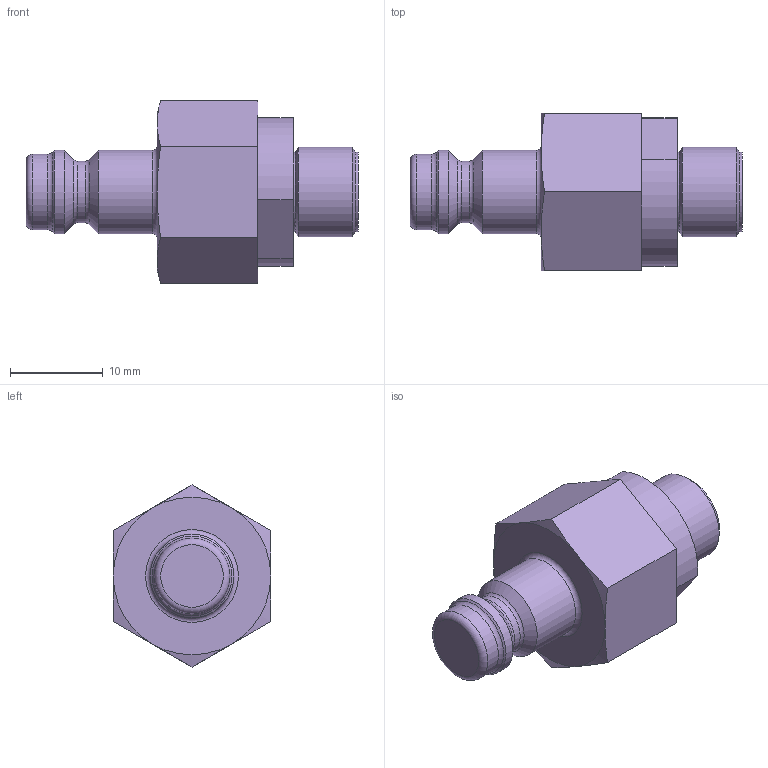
import cadquery as cq
import math


ring_rise_x = 2.3
ring_end_x = 4.1
shank_x = 7.8
hex_x = 14.15
collar_x = 25.0
stub_x = 28.8
total_length = 35.8

nose_diameter = 8.15
plug_diameter = 9.0
groove_diameter = 6.65
nose_radius = 0.7
ring_foot_radius = 0.78
groove_radius = 0.6
shank_foot_radius = 0.5

across_flats = 17.0
across_corners = across_flats / math.cos(math.radians(30))
hex_chamfer_angle = 15.0

collar_diameter = 16.0
collar_across_flats = 14.0
collar_flat_angle = 35.0

thread_diameter = 9.7
neck_diameter = 8.57
neck_length = 0.25
thread_chamfer = 0.3
pilot_length = 0.3

SIN_45 = math.sin(math.radians(45))
FILLET_DROP = 1 - SIN_45
HALF_ARC = math.radians(22.5)
ARC_MID_X = math.sin(HALF_ARC)
ARC_MID_DROP = 1 - math.cos(HALF_ARC)


def make_plug():
    """Nose, locking ring, groove and shank, with the fillet against the hexagon."""
    nose_r = nose_diameter / 2
    plug_r = plug_diameter / 2
    groove_r = groove_diameter / 2

    ring_arc_x = ring_rise_x + ring_foot_radius * SIN_45
    ring_arc_r = nose_r + ring_foot_radius * FILLET_DROP
    ring_start_x = ring_arc_x + plug_r - ring_arc_r

    groove_arc_r = groove_r + groove_radius * FILLET_DROP
    groove_arc_mid_r = groove_r + groove_radius * ARC_MID_DROP
    wall_length = plug_r - groove_arc_r
    front_arc_x = ring_end_x + wall_length
    floor_start_x = front_arc_x + groove_radius * SIN_45
    rear_arc_x = shank_x - wall_length
    floor_end_x = rear_arc_x - groove_radius * SIN_45

    nose_mid = nose_radius * FILLET_DROP
    foot_mid = shank_foot_radius * FILLET_DROP
    return (
        cq.Workplane("XY")
        .moveTo(0, 0)
        .lineTo(0, nose_r - nose_radius)
        .threePointArc((nose_mid, nose_r - nose_mid), (nose_radius, nose_r))
        .lineTo(ring_rise_x, nose_r)
        .threePointArc(
            (ring_rise_x + ring_foot_radius * ARC_MID_X, nose_r + ring_foot_radius * ARC_MID_DROP),
            (ring_arc_x, ring_arc_r),
        )
        .lineTo(ring_start_x, plug_r)
        .lineTo(ring_end_x, plug_r)
        .lineTo(front_arc_x, groove_arc_r)
        .threePointArc(
            (floor_start_x - groove_radius * ARC_MID_X, groove_arc_mid_r),
            (floor_start_x, groove_r),
        )
        .lineTo(floor_end_x, groove_r)
        .threePointArc(
            (floor_end_x + groove_radius * ARC_MID_X, groove_arc_mid_r),
            (rear_arc_x, groove_arc_r),
        )
        .lineTo(shank_x, plug_r)
        .lineTo(hex_x - shank_foot_radius, plug_r)
        .threePointArc((hex_x - foot_mid, plug_r + foot_mid), (hex_x, plug_r + shank_foot_radius))
        .lineTo(hex_x, 0)
        .close()
        .revolve(360, (0, 0, 0), (1, 0, 0))
    )


def make_hexagon():
    """Hexagon with corners on the Z axis, its front corners turned off by a shallow cone."""
    prism = (
        cq.Workplane("YZ", origin=(hex_x, 0, 0))
        .transformed(rotate=(0, 0, 90))
        .polygon(6, across_corners)
        .extrude(collar_x - hex_x)
    )
    face_r = across_flats / 2
    corner_r = across_corners / 2
    cone_length = (corner_r - face_r) * math.tan(math.radians(hex_chamfer_angle))
    envelope = (
        cq.Workplane("XY")
        .moveTo(hex_x, 0)
        .lineTo(hex_x, face_r)
        .lineTo(hex_x + cone_length, corner_r)
        .lineTo(collar_x, corner_r)
        .lineTo(collar_x, 0)
        .close()
        .revolve(360, (0, 0, 0), (1, 0, 0))
    )
    return prism.intersect(envelope)


def make_collar():
    """Round collar cut by two parallel flats."""
    length = stub_x - collar_x
    plane = cq.Workplane("YZ", origin=(collar_x, 0, 0))
    disc = plane.circle(collar_diameter / 2).extrude(length)
    flats = (
        plane.transformed(rotate=(0, 0, collar_flat_angle))
        .rect(collar_across_flats, collar_diameter)
        .extrude(length)
    )
    return disc.intersect(flats)


def make_stub():
    """Thread cylinder at its major diameter, between a relief neck and a short pilot."""
    neck_r = neck_diameter / 2
    thread_r = thread_diameter / 2
    thread_start_x = stub_x + neck_length
    thread_end_x = total_length - pilot_length
    return (
        cq.Workplane("XY")
        .moveTo(stub_x, 0)
        .lineTo(stub_x, neck_r)
        .lineTo(thread_start_x, neck_r)
        .lineTo(thread_start_x + thread_chamfer, thread_r)
        .lineTo(thread_end_x - thread_chamfer, thread_r)
        .lineTo(thread_end_x, neck_r)
        .lineTo(total_length, neck_r)
        .lineTo(total_length, 0)
        .close()
        .revolve(360, (0, 0, 0), (1, 0, 0))
    )


result = make_plug().union(make_hexagon()).union(make_collar()).union(make_stub())